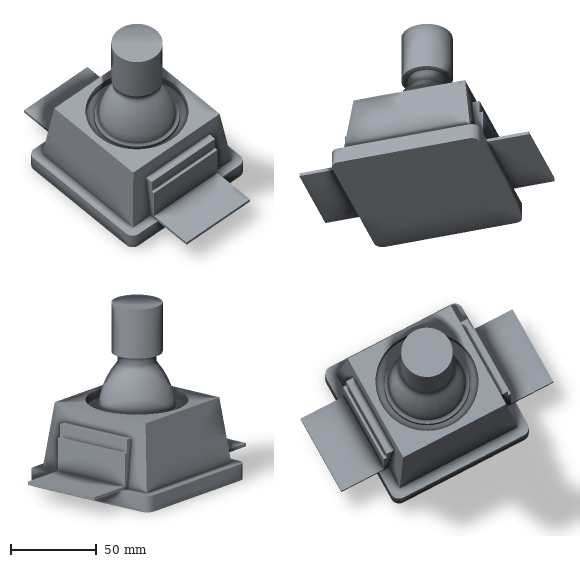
import cadquery as cq

overall_length = 140
overall_height = 109.3

base_side = 90.0
base_height = 10.0
base_corner_radius = 5.0

housing_bottom_side = 78.0
housing_top_side = 68.0
housing_height = 40.0
housing_top_z = base_height + housing_height

well_radius = 30.0
well_depth = 5.0
seat_radius = 25.0
seat_depth = 5.0
well_floor_z = housing_top_z - well_depth
seat_floor_z = well_floor_z - seat_depth

disc_radius = 24.8
disc_rise = 1.8
disc_top_z = well_floor_z + disc_rise

knob_radius = 15.0
knob_height = 30.0
knob_bottom_z = overall_height - knob_height

dome_radius = 22.5
dome_height = 26.5
dome_bulge = 2.2
neck_radius = dome_radius / 2
neck_fillet = 2.5

fitting_width = 50.0
pad_height = 30.0
pad_outer_x = 40.0
bracket_tip_x = overall_length / 2
bracket_thickness = 2.0
bracket_height = 22.0
sides = (-1, 1)


def make_base():
    plate = cq.Workplane("XY").rect(base_side, base_side).extrude(base_height)
    return plate.edges("|Z").fillet(base_corner_radius)


def make_housing():
    body = (
        cq.Workplane("XY", origin=(0, 0, base_height))
        .rect(housing_bottom_side, housing_bottom_side)
        .workplane(offset=housing_height)
        .rect(housing_top_side, housing_top_side)
        .loft(ruled=True)
    )
    well = cq.Workplane("XY", origin=(0, 0, well_floor_z)).circle(well_radius).extrude(well_depth)
    seat = cq.Workplane("XY", origin=(0, 0, seat_floor_z)).circle(seat_radius).extrude(seat_depth)
    return body.cut(well).cut(seat)


def make_disc():
    disc = cq.Workplane("XY", origin=(0, 0, seat_floor_z)).circle(disc_radius)
    return disc.extrude(disc_top_z - seat_floor_z)


def make_boot():
    neck_base_z = disc_top_z + dome_height
    boot = (
        cq.Workplane("XZ")
        .moveTo(0, disc_top_z)
        .lineTo(dome_radius, disc_top_z)
        .sagittaArc((neck_radius, neck_base_z), -dome_bulge)
        .lineTo(neck_radius, knob_bottom_z)
        .lineTo(0, knob_bottom_z)
        .close()
        .revolve(360, (0, 0, 0), (0, 1, 0))
    )
    neck_root = cq.selectors.NearestToPointSelector((neck_radius, 0, neck_base_z))
    return boot.edges("%CIRCLE").edges(neck_root).fillet(neck_fillet)


def make_knob():
    return cq.Workplane("XY", origin=(0, 0, knob_bottom_z)).circle(knob_radius).extrude(knob_height)


def extrude_across_y(outline):
    return outline.close().extrude(fitting_width / 2, both=True)


def make_pad(side):
    inner_bottom_x = housing_bottom_side / 2
    wall_slope = (housing_bottom_side - housing_top_side) / 2 / housing_height
    inner_top_x = inner_bottom_x - wall_slope * pad_height
    pad_top_z = base_height + pad_height
    outline = (
        cq.Workplane("XZ")
        .moveTo(side * inner_bottom_x, base_height)
        .lineTo(side * pad_outer_x, base_height)
        .lineTo(side * pad_outer_x, pad_top_z)
        .lineTo(side * inner_top_x, pad_top_z)
    )
    return extrude_across_y(outline)


def make_bracket(side):
    upright_outer_x = pad_outer_x + bracket_thickness
    flat_top_z = base_height + bracket_thickness
    upright_top_z = base_height + bracket_height
    outline = (
        cq.Workplane("XZ")
        .moveTo(side * pad_outer_x, base_height)
        .lineTo(side * bracket_tip_x, base_height)
        .lineTo(side * bracket_tip_x, flat_top_z)
        .lineTo(side * upright_outer_x, flat_top_z)
        .lineTo(side * upright_outer_x, upright_top_z)
        .lineTo(side * pad_outer_x, upright_top_z)
    )
    return extrude_across_y(outline)


base = make_base()
housing = make_housing()
disc = make_disc()
boot = make_boot()
knob = make_knob()
pads = [make_pad(side).val() for side in sides]
brackets = [make_bracket(side).val() for side in sides]

result = cq.Compound.makeCompound(
    [base.val(), housing.val(), disc.val(), boot.val(), knob.val(), *pads, *brackets]
)